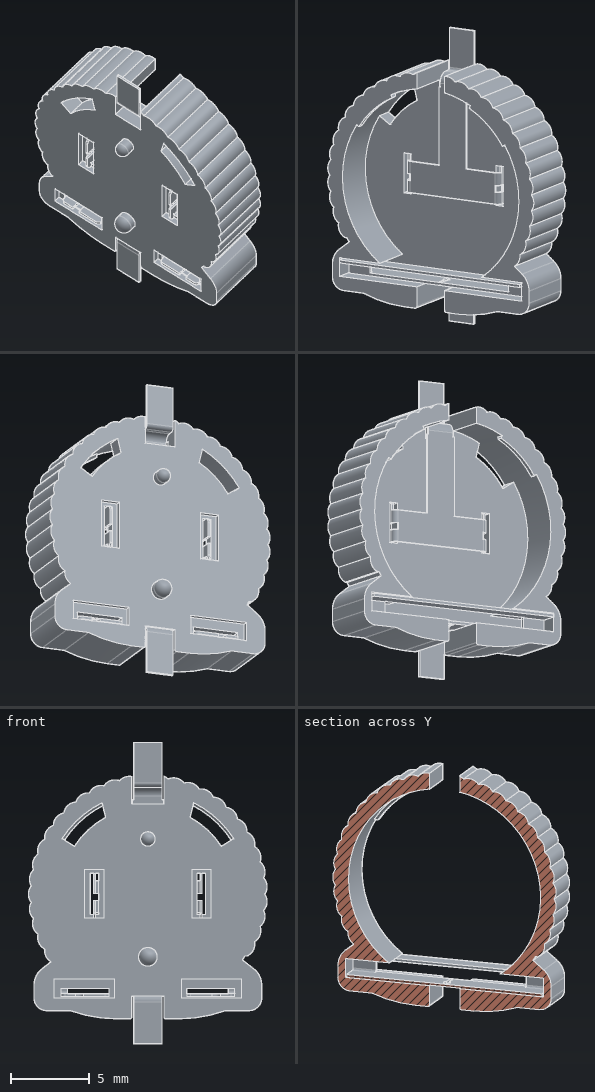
import cadquery as cq
import math


board_y = -1.59
open_y = 2.43
floor_y = -0.44
window_recess_depth = 0.4
recess_floor_y = board_y + window_recess_depth
peg_tip_y = -2.58

ring_z = -0.05
crest_diameter = 15.15
crest_radius = crest_diameter / 2
valley_radius = 7.41
core_radius = 7.3
flute_pitch = 8.0
first_valley = -32.0
flute_count = 31
foot_half_width = 7.22
foot_bottom_z = -7.45
foot_corner = 0.82
shoulder_radius = 1.32
shoulder_slope = 38.0
shoulder_end_z = -5.83
shoulder_run = 1.91
belly_z = -7.97
belly_half_flat = 1.97
belly_middle = (3.57, -7.82)
belly_half_width = 4.91

pocket_radius = 6.48
notch_half_width = 1.01
top_notch_z = 5.65
bottom_notch_z = -6.52
notch_lip_radius = 0.13
spring_bay_half_width = 6.69
spring_bay_top_z = -5.35
arc_slot_inner_radius = 5.56
arc_slot_outer_angles = (33.0, 63.3)
arc_slot_inner_angles = (33.1, 61.1)
catch_radius = 6.29
catch_depth = 0.57

side_recess = (2.79, 4.01, -1.57, 1.5)
side_opening = (3.11, 3.65, -1.34, 1.26)
foot_recess = (2.12, 5.95, -6.63, -5.43)
foot_opening = (2.47, 5.5, -6.55, -6.04)

pegs = ((0.45, 3.44), (0.6, -4.03))

tail_width = 1.8
top_sheet = 0.13
top_tail_z = 9.55
top_step_z = 6.69
top_tail_bend = 0.15
top_plate_bend = 0.52
neck_width = 1.99
neck_z = 5.92
wing_bend = 0.17
wing_outer_x = 3.44
upper_wing = (-0.02, 0.8)
lower_wing = (-1.25, -0.45)
wing_tip_y = -1.57
barb_radius = 0.36

bottom_sheet = 0.2
bottom_tail_z = -9.55
wall_outer_z = foot_opening[2]
wall_top_y = 1.35
wall_half_width = foot_opening[1]
bottom_bend = 0.32
prong_tip_y = -1.45
prong_corner = 0.25
prong_gap_x = 4.34
prong_gap_width = 0.52
keyhole_width = 0.42
keyhole_low_y = 0.23
keyhole_high_y = 1.2
keyhole_neck_width = 0.17
arm_inner_x = 5.08
arm_inner_bend = 0.11
spring_half_width = 6.61
spring_top_z = -5.45
spring_y = (1.47, 2.58)

clear = 1.91


def block(x, y, z):
    """Box between two limits along each axis."""
    return (
        cq.Workplane("XY")
        .box(x[1] - x[0], y[1] - y[0], z[1] - z[0], centered=False)
        .translate((x[0], y[0], z[0]))
    )


def mirrored_x(body):
    return body.mirror("YZ")


def window_block(window, y):
    x_near, x_far, z_low, z_high = window
    return block((x_near, x_far), y, (z_low, z_high))


def face_plane(y):
    """Plane at height y whose extrusions run towards -Y."""
    return cq.Workplane("XZ", origin=(0, y, 0))


def ring_point(radius, degrees):
    angle = math.radians(degrees)
    return (radius * math.cos(angle), ring_z + radius * math.sin(angle))


def round_edge(body, point, radius):
    """Fillet the one edge whose middle is nearest to the point."""
    return body.edges(cq.selectors.NearestToPointSelector(point)).fillet(radius)


def fluted_ring():
    outline = face_plane(open_y).moveTo(*ring_point(valley_radius, first_valley))
    for flute in range(flute_count):
        start = first_valley + flute * flute_pitch
        crest = ring_point(crest_radius, start + flute_pitch / 2)
        outline = outline.threePointArc(crest, ring_point(valley_radius, start + flute_pitch))
    flutes = outline.close().extrude(open_y - board_y)
    core = face_plane(open_y).center(0, ring_z).circle(core_radius).extrude(open_y - board_y)
    return flutes.union(core)


def foot():
    slope = math.radians(shoulder_slope)
    turn = math.pi / 2 - slope
    arc_x = foot_half_width - shoulder_radius
    arc_end = (
        arc_x + shoulder_radius * math.cos(turn),
        shoulder_end_z + shoulder_radius * math.sin(turn),
    )
    arc_middle = (
        arc_x + shoulder_radius * math.cos(turn / 2),
        shoulder_end_z + shoulder_radius * math.sin(turn / 2),
    )
    ring_end = (
        arc_end[0] - shoulder_run * math.cos(slope),
        arc_end[1] + shoulder_run * math.sin(slope),
    )
    half = (
        face_plane(open_y)
        .moveTo(0, ring_end[1])
        .lineTo(*ring_end)
        .lineTo(*arc_end)
        .threePointArc(arc_middle, (foot_half_width, shoulder_end_z))
        .lineTo(foot_half_width, foot_bottom_z + foot_corner)
        .radiusArc((foot_half_width - foot_corner, foot_bottom_z), foot_corner)
        .lineTo(belly_half_width, foot_bottom_z)
        .threePointArc(belly_middle, (belly_half_flat, belly_z))
        .lineTo(0, belly_z)
        .close()
        .extrude(open_y - board_y)
    )
    return half.union(mirrored_x(half))


def cell_pocket():
    depth = open_y - floor_y
    bore = face_plane(open_y).center(0, ring_z).circle(pocket_radius).extrude(depth)
    bay = block(
        (-spring_bay_half_width, spring_bay_half_width),
        (floor_y, open_y),
        (wall_outer_z, spring_bay_top_z),
    )
    return bore.union(bay)


def arc_slot():
    inner_start, inner_end = arc_slot_inner_angles
    outer_start, outer_end = arc_slot_outer_angles
    return (
        face_plane(floor_y)
        .moveTo(*ring_point(arc_slot_inner_radius, inner_start))
        .lineTo(*ring_point(pocket_radius, outer_start))
        .threePointArc(
            ring_point(pocket_radius, (outer_start + outer_end) / 2),
            ring_point(pocket_radius, outer_end),
        )
        .lineTo(*ring_point(arc_slot_inner_radius, inner_end))
        .threePointArc(
            ring_point(arc_slot_inner_radius, (inner_start + inner_end) / 2),
            ring_point(arc_slot_inner_radius, inner_start),
        )
        .close()
        .extrude(floor_y - board_y)
    )


def cell_catch():
    """Lip over the cell above an arc slot, with a sloped underside."""
    start, end = arc_slot_outer_angles
    root = (valley_radius + pocket_radius) / 2
    catch_low = open_y - catch_depth
    slope_height = pocket_radius - catch_radius
    return (
        cq.Workplane("XY")
        .polyline([
            (root, catch_low),
            (pocket_radius, catch_low),
            (catch_radius, catch_low + slope_height),
            (catch_radius, open_y),
            (root, open_y),
        ])
        .close()
        .revolve(end - start, (0, 0), (0, 1))
        .rotate((0, 0, 0), (0, 1, 0), -end)
        .translate((0, 0, ring_z))
    )


def peg(radius, z):
    length = board_y - peg_tip_y
    return face_plane(board_y).center(0, z).circle(radius).extrude(length - radius).union(
        cq.Workplane("XY").sphere(radius).translate((0, peg_tip_y + radius, z))
    )


def make_housing():
    body = fluted_ring().union(foot()).cut(cell_pocket())

    notch_x = (-notch_half_width, notch_half_width)
    notch_y = (board_y, open_y)
    body = body.cut(block(notch_x, notch_y, (top_notch_z, crest_radius + clear)))
    body = body.cut(block(notch_x, notch_y, (belly_z - clear, bottom_notch_z)))
    for side in (-1, 1):
        corner = (side * notch_half_width, (board_y + open_y) / 2, belly_z)
        body = round_edge(body, corner, notch_lip_radius)

    openings = arc_slot()
    for recess, opening in ((side_recess, side_opening), (foot_recess, foot_opening)):
        openings = openings.union(window_block(recess, (board_y, recess_floor_y)))
        openings = openings.union(window_block(opening, (board_y, floor_y)))
    body = body.cut(openings).cut(mirrored_x(openings))

    catch = cell_catch()
    body = body.union(catch).union(mirrored_x(catch))
    for radius, z in pegs:
        body = body.union(peg(radius, z))
    return body


def top_tail():
    plate_top = floor_y + top_sheet
    tail_top = board_y + top_sheet
    step_back = top_step_z + top_sheet
    tail = (
        cq.Workplane("YZ")
        .polyline([
            (board_y, top_tail_z),
            (board_y, top_step_z),
            (floor_y, top_step_z),
            (floor_y, neck_z),
            (plate_top, neck_z),
            (plate_top, step_back),
            (tail_top, step_back),
            (tail_top, top_tail_z),
        ])
        .close()
        .extrude(tail_width / 2, both=True)
    )
    tail = round_edge(tail, (0, floor_y, top_step_z), top_plate_bend)
    tail = round_edge(tail, (0, plate_top, step_back), top_plate_bend + top_sheet)
    tail = round_edge(tail, (0, tail_top, step_back), top_tail_bend)
    return round_edge(tail, (0, board_y, top_step_z), top_tail_bend + top_sheet)


def wing(z_range):
    """Sheet strip that leaves the plate and folds down into a side window."""
    plate_top = floor_y + top_sheet
    inner_x = wing_outer_x - top_sheet
    z_middle = sum(z_range) / 2
    strip = block((0, wing_outer_x), (wing_tip_y, plate_top), z_range)
    strip = strip.cut(block((0, inner_x), (wing_tip_y, floor_y), z_range))
    strip = round_edge(strip, (wing_outer_x, plate_top, z_middle), wing_bend + top_sheet)
    return round_edge(strip, (inner_x, floor_y, z_middle), wing_bend)


def barb(z_root, z_tip, y_top):
    """Side hook on a wing, with a rounded lower corner."""
    z_range = (min(z_root, z_tip), max(z_root, z_tip))
    hook = block((wing_outer_x - top_sheet, wing_outer_x), (wing_tip_y, y_top), z_range)
    corner = (wing_outer_x - top_sheet / 2, wing_tip_y, z_tip)
    return round_edge(hook, corner, barb_radius)


def make_top_contact():
    plate_y = (floor_y, floor_y + top_sheet)
    neck_x = (-neck_width / 2, neck_width / 2)
    bend_end_y = floor_y - wing_bend
    body = top_tail().union(block(neck_x, plate_y, (lower_wing[0], neck_z)))
    plate_x = (-side_opening[0], side_opening[0])
    body = body.union(block(plate_x, plate_y, (lower_wing[0], upper_wing[1])))

    wings = wing(upper_wing).union(wing(lower_wing))
    wings = wings.union(barb(upper_wing[0], side_opening[3], bend_end_y))
    wings = wings.union(barb(lower_wing[1], side_recess[2], recess_floor_y))
    return body.union(wings).union(mirrored_x(wings))


def bottom_tail():
    wall_inner_z = wall_outer_z + bottom_sheet
    tail_top = board_y + bottom_sheet
    tail = (
        cq.Workplane("YZ")
        .polyline([
            (board_y, bottom_tail_z),
            (board_y, wall_inner_z),
            (floor_y, wall_inner_z),
            (floor_y, wall_outer_z),
            (tail_top, wall_outer_z),
            (tail_top, bottom_tail_z),
        ])
        .close()
        .extrude(tail_width / 2, both=True)
    )
    tail = round_edge(tail, (0, board_y, wall_inner_z), bottom_bend + bottom_sheet)
    return round_edge(tail, (0, tail_top, wall_outer_z), bottom_bend)


def prong_pair():
    """Press-in tongue for one foot window, split by a round-ended gap."""
    wall_z = (wall_outer_z, wall_outer_z + bottom_sheet)
    tongue = block((foot_opening[0], foot_opening[1]), (prong_tip_y, floor_y), wall_z)
    tongue = tongue.edges("|Z and <Y").fillet(prong_corner)
    gap_end_y = floor_y - prong_gap_width
    gap = block(
        (prong_gap_x - prong_gap_width / 2, prong_gap_x + prong_gap_width / 2),
        (prong_tip_y, gap_end_y),
        wall_z,
    )
    gap_end = (
        cq.Workplane("XY", origin=(prong_gap_x, gap_end_y, wall_outer_z))
        .circle(prong_gap_width / 2)
        .extrude(bottom_sheet)
    )
    return tongue.cut(gap).cut(gap_end)


def spring_arm():
    """Z-bent strip that joins the wall to one end of the cross strip."""
    wall_inner_z = wall_outer_z + bottom_sheet
    strip_outer_z = spring_top_z - bottom_sheet
    arm_low_y = wall_top_y - bottom_sheet
    arm_width = spring_half_width - arm_inner_x
    arm_middle_x = (spring_half_width + arm_inner_x) / 2
    arm = (
        cq.Workplane("YZ", origin=(arm_inner_x, 0, 0))
        .polyline([
            (floor_y, wall_outer_z),
            (floor_y, wall_inner_z),
            (arm_low_y, wall_inner_z),
            (arm_low_y, spring_top_z),
            (spring_y[1], spring_top_z),
            (spring_y[1], strip_outer_z),
            (wall_top_y, strip_outer_z),
            (wall_top_y, wall_outer_z),
        ])
        .close()
        .extrude(arm_width)
    )
    return round_edge(arm, (arm_middle_x, arm_low_y, wall_inner_z), arm_inner_bend)


def keyhole():
    """Round hole through the wall with a narrow slot above it."""
    wall_z = (wall_outer_z, wall_outer_z + bottom_sheet)
    hole = (
        cq.Workplane("XY", origin=(0, keyhole_low_y + keyhole_width / 2, wall_outer_z))
        .circle(keyhole_width / 2)
        .extrude(bottom_sheet)
    )
    neck_x = (-keyhole_neck_width / 2, keyhole_neck_width / 2)
    neck_y = (keyhole_low_y + keyhole_width / 2, keyhole_high_y)
    return hole.union(block(neck_x, neck_y, wall_z))


def make_bottom_contact():
    wall_z = (wall_outer_z, wall_outer_z + bottom_sheet)
    wall = block((-wall_half_width, wall_half_width), (floor_y, wall_top_y), wall_z)
    strip = block(
        (-spring_half_width, spring_half_width),
        spring_y,
        (spring_top_z - bottom_sheet, spring_top_z),
    )
    sides = prong_pair().union(spring_arm())
    body = wall.union(bottom_tail()).union(strip)
    return body.union(sides).union(mirrored_x(sides)).cut(keyhole())


housing = make_housing().cut(bottom_tail())
top_contact = make_top_contact()
bottom_contact = make_bottom_contact()

result = cq.Compound.makeCompound([housing.val(), top_contact.val(), bottom_contact.val()])